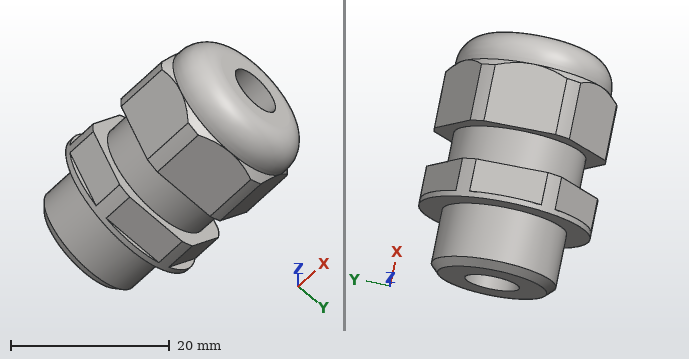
import cadquery as cq

total_length = 31.0

thread_length = 8.0
flange_end = 8.75
body_hex_end = 13.0
nut_start = 18.0
nut_end = 26.4

bore_radius = 3.5
thread_radius = 8.0
thread_chamfer = 1.0
flange_radius = 11.0
barrel_radius = 8.5
hex_across_flats = 20.0
hex_turn = 90
cap_radius = hex_across_flats / 2
cap_rounding = 4.0

nut_bevel = flange_radius - cap_radius


def cylinder(start, end, radius):
    """Solid cylinder along X between two stations."""
    return cq.Workplane("YZ", origin=(start, 0, 0)).circle(radius).extrude(end - start)


def rounded_hex(start, end):
    """Hexagon along X with flats facing +/-Z and corners trimmed to the flange radius."""
    hexagon = (
        cq.Workplane("YZ", origin=(start, 0, 0))
        .polygon(6, hex_across_flats, circumscribed=True)
        .extrude(end - start)
        .rotate((0, 0, 0), (1, 0, 0), hex_turn)
    )
    return hexagon.intersect(cylinder(start, end, flange_radius))


thread = cylinder(0, thread_length, thread_radius).faces("<X").chamfer(thread_chamfer)

flange = cylinder(thread_length, flange_end, flange_radius)
body_hex = rounded_hex(flange_end, body_hex_end)

barrel = cylinder(body_hex_end, nut_start, barrel_radius)

bevel_envelope = cylinder(nut_start, nut_end, flange_radius).faces(">X").chamfer(nut_bevel)
nut = rounded_hex(nut_start, nut_end).intersect(bevel_envelope)

cap = cylinder(nut_end, total_length, cap_radius).faces(">X").edges().fillet(cap_rounding)

result = thread
for piece in (flange, body_hex, barrel, nut, cap):
    result = result.union(piece)
result = result.cut(cylinder(0, total_length, bore_radius))